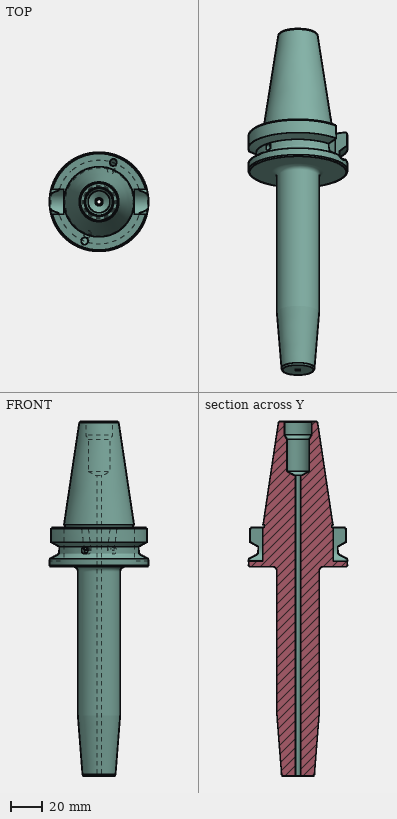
import cadquery as cq
import math

total_length = 225.5

shank_radius = 13.5
nose_radius = 10.5
nose_length = 38.5
nose_chamfer_width = 0.7
nose_chamfer_height = 1.4
shank_fillet = 3.0

flange_radius = 31.5
flange_bottom = 133.0
flange_top = 158.0
flange_chamfer = 1.0
groove_floor_radius = 26.5
groove_floor_bottom = 141.0
groove_floor_top = 145.8
groove_fillet = 1.0
groove_flank_angle = 30.0

relief_depth = 0.7
taper_bottom = 159.8
taper_large_radius = 22.3
taper_small_radius = 12.6
taper_chamfer = 1.0

slot_width = 16.0
slot_floor = 22.5
slot_bottom = 136.8

mouth_radius = 8.5
mouth_depth = 8.5
mouth_chamfer = 0.7
thread_radius = 7.0
thread_depth = 31.5
countersink_angle = 60.0
drill_tip_angle = 120.0
drill_tip_radius = 2.5
channel_radius = 1.5

coolant_radius = 2.15
coolant_circle_radius = 26.5
coolant_angle = 70.0
coolant_tilt = 20.0
cross_bore_height = (groove_floor_bottom + groove_floor_top) / 2


def make_body():
    """Revolve the outer profile from the nose to the taper end."""
    flank_height = (flange_radius - groove_floor_radius) * math.tan(math.radians(groove_flank_angle))
    fillet_centre_radius = shank_radius + shank_fillet
    fillet_centre_height = flange_bottom - shank_fillet
    fillet_offset = shank_fillet * math.sqrt(0.5)
    fillet_middle = (fillet_centre_radius - fillet_offset, fillet_centre_height + fillet_offset)
    relief_middle = (taper_large_radius - relief_depth, (flange_top + taper_bottom) / 2)
    body = (
        cq.Workplane("XZ")
        .lineTo(nose_radius - nose_chamfer_width, 0)
        .lineTo(nose_radius, nose_chamfer_height)
        .lineTo(shank_radius, nose_length)
        .lineTo(shank_radius, fillet_centre_height)
        .threePointArc(fillet_middle, (fillet_centre_radius, flange_bottom))
        .lineTo(flange_radius - flange_chamfer, flange_bottom)
        .lineTo(flange_radius, flange_bottom + flange_chamfer)
        .lineTo(flange_radius, groove_floor_bottom - flank_height)
        .lineTo(groove_floor_radius, groove_floor_bottom)
        .lineTo(groove_floor_radius, groove_floor_top)
        .lineTo(flange_radius, groove_floor_top + flank_height)
        .lineTo(flange_radius, flange_top - flange_chamfer)
        .lineTo(flange_radius - flange_chamfer, flange_top)
        .lineTo(taper_large_radius, flange_top)
        .threePointArc(relief_middle, (taper_large_radius, taper_bottom))
        .lineTo(taper_small_radius, total_length - taper_chamfer)
        .lineTo(taper_small_radius - taper_chamfer, total_length)
        .lineTo(0, total_length)
        .close()
        .revolve(360, (0, 0, 0), (0, 1, 0))
    )
    groove_corner = cq.selectors.BoxSelector(
        (-flange_radius, -flange_radius, groove_floor_bottom - groove_fillet),
        (flange_radius, flange_radius, groove_floor_bottom + groove_fillet),
    )
    return body.edges("%CIRCLE").edges(groove_corner).fillet(groove_fillet)


def cone_height(large_radius, small_radius, included_angle):
    """Axial length of a cone between two radii."""
    return (large_radius - small_radius) / math.tan(math.radians(included_angle / 2))


def make_axial_bore():
    """Plain mouth, countersunk thread bore with a drill point, and a through channel."""
    mouth_end = total_length - mouth_depth
    countersink_end = mouth_end - cone_height(mouth_radius, thread_radius, countersink_angle)
    thread_end = total_length - thread_depth
    drill_tip_end = thread_end - cone_height(thread_radius, drill_tip_radius, drill_tip_angle)
    return (
        cq.Workplane("XZ")
        .lineTo(channel_radius, 0)
        .lineTo(channel_radius, drill_tip_end)
        .lineTo(drill_tip_radius, drill_tip_end)
        .lineTo(thread_radius, thread_end)
        .lineTo(thread_radius, countersink_end)
        .lineTo(mouth_radius, mouth_end)
        .lineTo(mouth_radius, total_length - mouth_chamfer)
        .lineTo(mouth_radius + mouth_chamfer, total_length)
        .lineTo(0, total_length)
        .close()
        .revolve(360, (0, 0, 0), (0, 1, 0))
    )


def make_drive_slot(side):
    """Cutter for one drive slot: side is -1 for -X and +1 for +X."""
    half_width = slot_width / 2
    arc_height = slot_bottom + half_width
    return (
        cq.Workplane("YZ", origin=(side * slot_floor, 0, 0))
        .moveTo(-half_width, flange_top)
        .lineTo(-half_width, arc_height)
        .threePointArc((0, slot_bottom), (half_width, arc_height))
        .lineTo(half_width, flange_top)
        .close()
        .extrude(side * (flange_radius - slot_floor))
    )


def make_coolant_channel(angle):
    """Leaning channel and radial cross bore at one angle about the axis."""
    tilt = math.radians(coolant_tilt)
    drop = flange_top - cross_bore_height
    meeting_radius = coolant_circle_radius - drop * math.tan(tilt)
    meeting_point = cq.Vector(meeting_radius, 0, cross_bore_height)
    channel_length = drop / math.cos(tilt) + coolant_radius
    channel_direction = cq.Vector(math.sin(tilt), 0, math.cos(tilt))
    channel = cq.Solid.makeCylinder(coolant_radius, channel_length, meeting_point, channel_direction)
    cross_bore_length = flange_radius - meeting_radius
    cross_bore = cq.Solid.makeCylinder(coolant_radius, cross_bore_length, meeting_point, cq.Vector(1, 0, 0))
    return cq.Workplane(channel.fuse(cross_bore)).rotate((0, 0, 0), (0, 0, 1), angle)


result = make_body().cut(make_axial_bore())
for side in (-1, 1):
    result = result.cut(make_drive_slot(side))
for angle in (coolant_angle, coolant_angle + 180):
    result = result.cut(make_coolant_channel(angle))